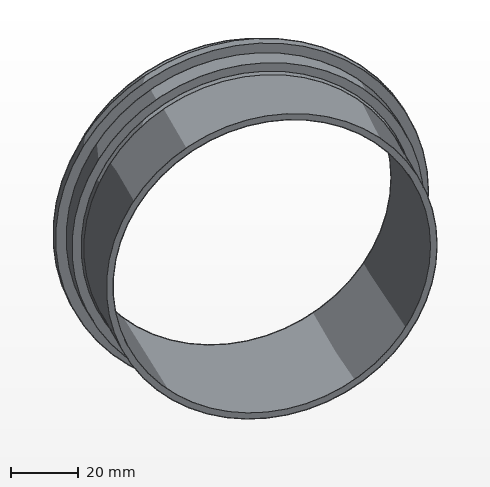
import cadquery as cq

total_length = 44.4
bore_diameter = 97.4

lip_diameter = 106.4
flange_diameter = 114.5
collar_diameter = 108.1
tube_diameter = 101.6

lip_length = 8.0
flange_thickness = 3.1
collar_length = 6.5
taper_length = 1.4

taper_rise = 0.5

start = -total_length / 2
flange_start = start + lip_length
collar_start = flange_start + flange_thickness
collar_end = collar_start + collar_length


def cylinder(diameter, x_start, length):
    """Solid cylinder along +X beginning at x_start."""
    return cq.Workplane("YZ", origin=(x_start, 0, 0)).circle(diameter / 2).extrude(length)


def root_taper():
    """Shallow cone running from the collar face down to the tube surface."""
    tube_radius = tube_diameter / 2
    return (
        cq.Workplane("YZ", origin=(collar_end, 0, 0))
        .circle(tube_radius + taper_rise)
        .workplane(offset=taper_length)
        .circle(tube_radius)
        .loft()
    )


body = cylinder(tube_diameter, start, total_length)
body = body.union(cylinder(lip_diameter, start, lip_length))
body = body.union(cylinder(flange_diameter, flange_start, flange_thickness))
body = body.union(cylinder(collar_diameter, collar_start, collar_length))
body = body.union(root_taper())

result = body.cut(cylinder(bore_diameter, start, total_length))